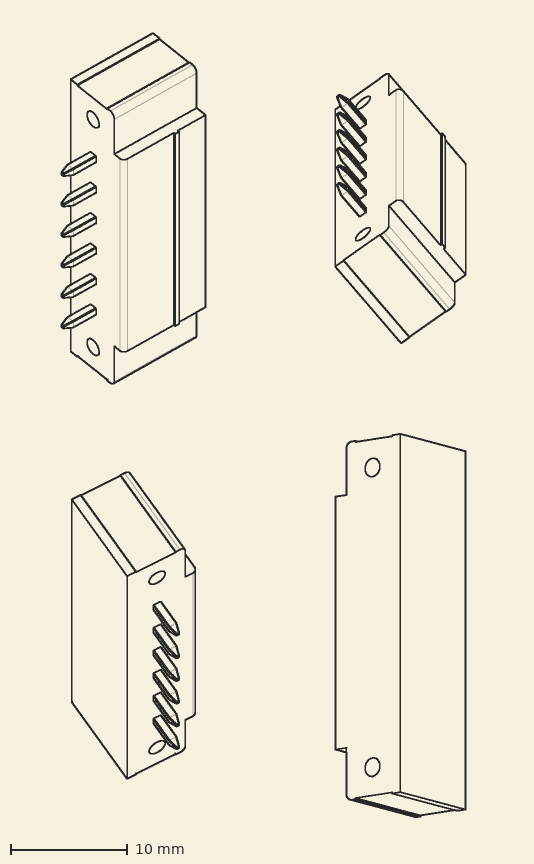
import cadquery as cq

height = 31.3
depth = 9.2
total_depth = 12.6
total_width = 7.2

flange_width = 5.82
flange_corner_radius = 0.55
shelf_height = 22.1
ridge_projection = 0.2
shelf_width = total_width - ridge_projection
shelf_edge_radius = 0.47

ridge_start = 5.65
ridge_thickness = 0.45

recess_start = 0.9
recess_end = 4.85
recess_depth = 0.1

centre_line_x = 3.0
hole_diameter = 1.6
hole_spacing = 26.17

pin_count = 6
pin_pitch = 3.5
pin_size = 0.78
pin_edge_chamfer = 0.05
pin_length = total_depth - depth
pin_taper_length = 0.85
pin_tip_size = 0.3
pin_straight_length = pin_length - pin_taper_length


def block(x_start, x_end, y_start, y_end, block_height):
    """Box between X and Y limits, centred on Z = 0."""
    return cq.Workplane("XY").box(
        x_end - x_start, y_end - y_start, block_height, centered=(False, False, True)
    ).translate((x_start, y_start, 0))


def make_flanged_body():
    """Full-height block with rounded outer corners and recessed end faces."""
    body = block(0, flange_width, 0, depth, height)
    body = body.edges(">X and |Y").fillet(flange_corner_radius)
    inner_height = height - 2 * recess_depth
    recesses = block(recess_start, recess_end, 0, depth, height).cut(
        block(recess_start, recess_end, 0, depth, inner_height)
    )
    return body.cut(recesses)


def make_shelf():
    """Wider middle section with a rounded front edge and a side ridge."""
    shelf = block(0, shelf_width, 0, depth, shelf_height)
    shelf = shelf.edges(">X and <Y").fillet(shelf_edge_radius)
    ridge = block(
        flange_width, total_width, ridge_start, ridge_start + ridge_thickness, shelf_height
    )
    return shelf.union(ridge)


def pin_section(size):
    """Square sketch with its corners cut off by the pin edge chamfer."""
    return cq.Sketch().rect(size, size).vertices().chamfer(pin_edge_chamfer)


def make_pin():
    """Square pin along -Y with chamfered long edges and a tapered tip."""
    section = pin_section(pin_size)
    tip_section = pin_section(pin_tip_size)
    shank = cq.Workplane("XZ").placeSketch(section).extrude(pin_straight_length)
    tip_offset = cq.Location(cq.Vector(0, 0, pin_taper_length))
    tip = (
        cq.Workplane("XZ", origin=(0, -pin_straight_length, 0))
        .placeSketch(section, tip_section.moved(tip_offset))
        .loft()
    )
    return shank.union(tip)


def make_mounting_holes():
    """Cylinders through the full depth, one in each end flange."""
    return (
        cq.Workplane("XZ")
        .pushPoints([(centre_line_x, -hole_spacing / 2), (centre_line_x, hole_spacing / 2)])
        .circle(hole_diameter / 2)
        .extrude(-depth)
    )


result = make_flanged_body().union(make_shelf()).cut(make_mounting_holes())

pin = make_pin()
for index in range(pin_count):
    pin_z = (index - (pin_count - 1) / 2) * pin_pitch
    result = result.union(pin.translate((centre_line_x, 0, pin_z)))